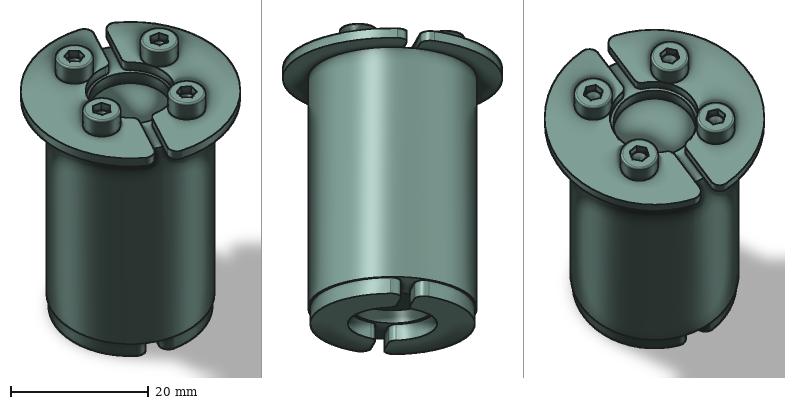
import cadquery as cq
import math


bottom_plate_thickness = 2.5
body_height = 36.0
top_plate_thickness = 1.5
body_top = bottom_plate_thickness + body_height
plate_top = body_top + top_plate_thickness

body_diameter = 24.6
recess_diameter = 12.0
recess_depth = 2.0

top_plate_diameter = 32.0
bottom_plate_diameter = 24.0
plate_bore_diameter = 13.0
plate_gap = 2.0
outer_corner_radius = 1.5
inner_corner_radius = 1.2

screw_offset = 6.5
head_diameter = 5.5
head_height = 3.0
head_fillet = 0.3
socket_across_flats = 2.5
socket_depth = 1.3
socket_cone_diameter = 2.46
socket_cone_angle = 120.0
half_hexagon_angle = 30.0


def make_body():
    """Cylinder with a shallow round recess in each end."""
    base = cq.Workplane("XY").workplane(offset=bottom_plate_thickness)
    body = base.circle(body_diameter / 2).extrude(body_height)
    body = body.faces(">Z").workplane().circle(recess_diameter / 2).cutBlind(-recess_depth)
    return body.faces("<Z").workplane().circle(recess_diameter / 2).cutBlind(-recess_depth)


def make_split_plate(diameter, thickness, base_height):
    """Bored disc split along X by a gap, with all corners of the two halves rounded."""
    plate = (
        cq.Workplane("XY")
        .workplane(offset=base_height)
        .circle(diameter / 2)
        .circle(plate_bore_diameter / 2)
        .extrude(thickness)
    )
    gap = (
        cq.Workplane("XY")
        .workplane(offset=base_height)
        .rect(2 * diameter, plate_gap)
        .extrude(thickness)
    )
    plate = plate.cut(gap)
    middle = (diameter + plate_bore_diameter) / 4
    inner_zone = cq.selectors.BoxSelector(
        (-middle, -plate_gap, base_height),
        (middle, plate_gap, base_height + thickness),
    )
    corner_edges = cq.selectors.ParallelDirSelector(cq.Vector(0, 0, 1))
    plate = plate.edges(corner_edges - inner_zone).fillet(outer_corner_radius)
    return plate.edges(corner_edges & inner_zone).fillet(inner_corner_radius)


def make_screw_head():
    """Socket screw head on the Z axis, seated on the top plate, with one socket flat facing +X."""
    head = cq.Workplane("XY").workplane(offset=plate_top).circle(head_diameter / 2).extrude(head_height)
    head = head.faces(">Z").edges().fillet(head_fillet)
    head_top = plate_top + head_height
    socket_floor = head_top - socket_depth
    across_corners = socket_across_flats / math.cos(math.radians(half_hexagon_angle))
    socket = (
        cq.Workplane("XY")
        .workplane(offset=socket_floor)
        .transformed(rotate=(0, 0, half_hexagon_angle))
        .polygon(6, across_corners)
        .extrude(socket_depth)
    )
    cone_radius = socket_cone_diameter / 2
    cone_depth = cone_radius / math.tan(math.radians(socket_cone_angle / 2))
    cone = cq.Workplane(
        cq.Solid.makeCone(cone_radius, 0, cone_depth, cq.Vector(0, 0, socket_floor), cq.Vector(0, 0, -1))
    )
    return head.cut(socket).cut(cone)


def make_part():
    part = make_body()
    part = part.union(make_split_plate(top_plate_diameter, top_plate_thickness, body_top))
    part = part.union(make_split_plate(bottom_plate_diameter, bottom_plate_thickness, 0))
    screw_head = make_screw_head().translate((screw_offset * math.sqrt(2), 0, 0))
    for angle in (45, 135, 225, 315):
        part = part.union(screw_head.rotate((0, 0, 0), (0, 0, 1), angle))
    return part


result = make_part()